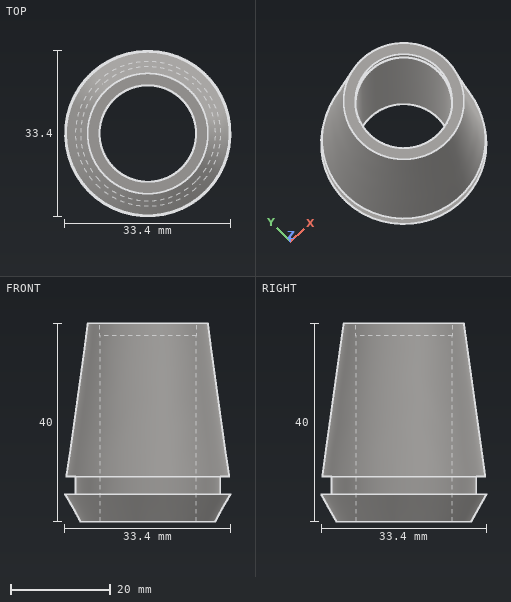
import cadquery as cq

height = 40.0
flange_height = 5.55
groove_width = 3.55

top_diameter = 24.25
cone_base_diameter = 32.9
groove_diameter = 29.2
flange_diameter = 33.35
bottom_diameter = 27.1

mouth_diameter = 19.5
mouth_depth = 2.5
bore_diameter = 19.35

cone_base_z = flange_height + groove_width
mouth_z = height - mouth_depth

profile = [
    (bore_diameter / 2, 0),
    (bottom_diameter / 2, 0),
    (flange_diameter / 2, flange_height),
    (groove_diameter / 2, flange_height),
    (groove_diameter / 2, cone_base_z),
    (cone_base_diameter / 2, cone_base_z),
    (top_diameter / 2, height),
    (mouth_diameter / 2, height),
    (mouth_diameter / 2, mouth_z),
    (bore_diameter / 2, mouth_z),
]

result = cq.Workplane("YZ").polyline(profile).close().revolve(360, (0, 0, 0), (0, 1, 0))